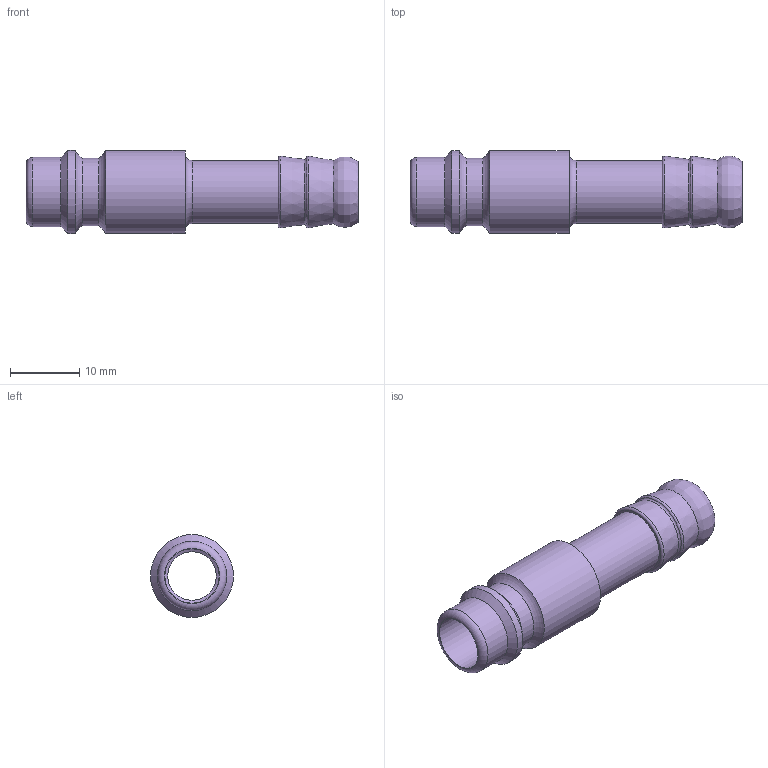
import cadquery as cq
import math

length = 48.0

bore_radius = 7.0 / 2
wide_bore_radius = 7.85 / 2
wide_bore_depth = 20.0
drill_half_angle = 60.0

plug_radius = 10.0 / 2
tip_round = 1.0
collar_radius = 12.0 / 2
collar_ramp_start = 5.05
collar_ramp_end = collar_ramp_start + collar_radius - plug_radius
body_end = 23.0

neck_radius = 9.75 / 2
groove_start = 7.12
groove_end = 11.5
groove_ball_radius = 2.38

tube_radius = 9.1 / 2
tube_fillet = 1.0
barb_radius = 10.4 / 2
barb_round = 0.35
barb_face = 36.45
valley_radius = 9.5 / 2
valley_start = 40.2
bead_start = 44.4
bead_start_radius = 4.6
bead_peak = 46.1
bead_radius = barb_radius
bead_end_radius = 4.38


def arc_to(outline, center, radius, start_angle, end_angle):
    """Add an arc about center (x, r); the outline must already stand at start_angle."""
    def on_circle(angle):
        turn = math.radians(angle)
        return (center[0] + radius * math.cos(turn), center[1] + radius * math.sin(turn))

    return outline.threePointArc(on_circle((start_angle + end_angle) / 2), on_circle(end_angle))


def plug_outline(outline):
    """Rounded tip and the ramped collar, up to the edge of the groove."""
    outline = outline.moveTo(0, wide_bore_radius).lineTo(0, plug_radius - tip_round)
    outline = arc_to(outline, (tip_round, plug_radius - tip_round), tip_round, 180, 90)
    outline = outline.lineTo(collar_ramp_start, plug_radius)
    return outline.lineTo(collar_ramp_end, collar_radius).lineTo(groove_start, collar_radius)


def groove_outline(outline):
    """Groove with circular flanks that stop at the cylindrical neck."""
    groove_middle = (groove_start + groove_end) / 2
    half_width = groove_end - groove_middle
    center_height = math.sqrt(groove_ball_radius**2 - half_width**2)
    neck_depth = center_height + collar_radius - neck_radius
    half_neck = math.sqrt(groove_ball_radius**2 - neck_depth**2)
    outline = outline.radiusArc((groove_middle - half_neck, neck_radius), -groove_ball_radius)
    outline = outline.lineTo(groove_middle + half_neck, neck_radius)
    return outline.radiusArc((groove_end, collar_radius), -groove_ball_radius)


def tube_outline(outline):
    """Body, its end face and the tube with a filleted root."""
    fillet_center = (body_end + tube_fillet, tube_radius + tube_fillet)
    outline = outline.lineTo(body_end, collar_radius).lineTo(body_end, fillet_center[1])
    outline = arc_to(outline, fillet_center, tube_fillet, 180, 270)
    return outline.lineTo(barb_face, tube_radius)


def barb_outline(outline):
    """Two tapered barbs; the second rises from the valley in two equal tangent arcs."""
    round_center = (barb_face + barb_round, barb_radius - barb_round)
    outline = outline.lineTo(barb_face, round_center[1])
    outline = arc_to(outline, round_center, barb_round, 180, 90)
    outline = outline.lineTo(valley_start, valley_radius)
    half_rise = (barb_radius - valley_radius) / 2
    half_run = math.sqrt(barb_round**2 - (barb_round - half_rise)**2)
    outline = outline.radiusArc((valley_start + half_run, valley_radius + half_rise), -barb_round)
    outline = outline.radiusArc((valley_start + 2 * half_run, barb_radius), barb_round)
    return outline.lineTo(bead_start, bead_start_radius)


def bead_outline(outline):
    """Rounded bead at the hose end."""
    return outline.threePointArc((bead_peak, bead_radius), (length, bead_end_radius))


def bore_outline(outline):
    """Narrow bore from the hose end, a drill cone, then the wide bore to the plug end."""
    cone_length = (wide_bore_radius - bore_radius) / math.tan(math.radians(drill_half_angle))
    outline = outline.lineTo(length, bore_radius).lineTo(wide_bore_depth + cone_length, bore_radius)
    return outline.lineTo(wide_bore_depth, wide_bore_radius).close()


profile = cq.Workplane("XY")
for add_section in (plug_outline, groove_outline, tube_outline, barb_outline, bead_outline, bore_outline):
    profile = add_section(profile)

result = profile.revolve(360, (0, 0, 0), (1, 0, 0))